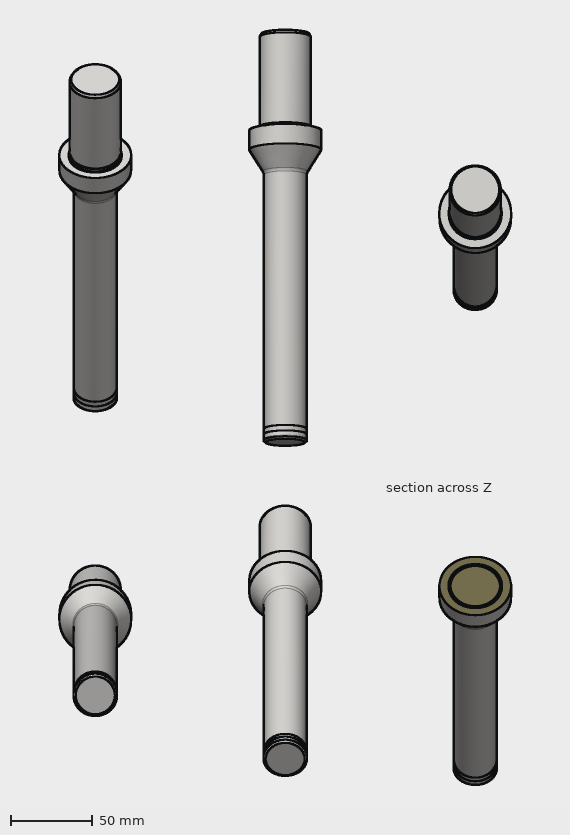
import cadquery as cq
import math

total_length = 256.16
collar_radius = 44.45 / 2

collar_bottom = 183.4
collar_top = 195.6

shank_radius = 31.75 / 2
shank_chamfer_width = 1.1
shank_chamfer_angle = math.radians(30)
shank_chamfer_height = shank_chamfer_width / math.tan(shank_chamfer_angle)

groove_top = collar_top + 2.3
groove_taper_height = 0.8
groove_floor = collar_top - 0.5
neck_radius = shank_radius - 0.5
recess_radius = shank_radius + 0.55

stem_radius = 13.3
cone_foot = collar_bottom - 14.5
cone_fillet = 4.0

tip_height = 8.5
stem_bottom = 5.0
tip_land_bottom = 1.3
tip_land_top = tip_land_bottom + 0.7
tip_chamfer_width = 1.5
flare_angle = math.radians(4.5)
tip_radius = stem_radius + (stem_bottom - tip_land_top) * math.tan(flare_angle)
tip_top_radius = stem_radius - (tip_height - stem_bottom) * math.tan(flare_angle)


def outline_from_axis(points):
    """Closed half profile of (radius, height) points, both ends on the axis."""
    return cq.Workplane("XZ").polyline(points).close()


def turn(profile):
    """Revolve a half profile a full turn about the Z axis."""
    return profile.revolve(360, (0, 0, 0), (0, 1, 0))


def make_holder():
    profile = outline_from_axis(
        [
            (0, tip_height),
            (tip_top_radius, tip_height),
            (stem_radius, stem_bottom),
            (stem_radius, cone_foot),
            (collar_radius, collar_bottom),
            (collar_radius, collar_top),
            (recess_radius, collar_top),
            (recess_radius, groove_floor),
            (neck_radius, groove_floor),
            (neck_radius, groove_top - groove_taper_height),
            (shank_radius, groove_top),
            (shank_radius, total_length - shank_chamfer_height),
            (shank_radius - shank_chamfer_width, total_length),
            (0, total_length),
        ]
    )
    cone_corner = cq.selectors.NearestToPointSelector((0, 0, cone_foot))
    return turn(profile).edges(cone_corner).fillet(cone_fillet)


def make_tip():
    profile = outline_from_axis(
        [
            (0, 0),
            (tip_radius - tip_chamfer_width, 0),
            (tip_radius, tip_land_bottom),
            (tip_radius, tip_land_top),
            (tip_top_radius, tip_height),
            (0, tip_height),
        ]
    )
    return turn(profile)


holder = make_holder()
tip = make_tip()
result = cq.Compound.makeCompound([holder.val(), tip.val()])